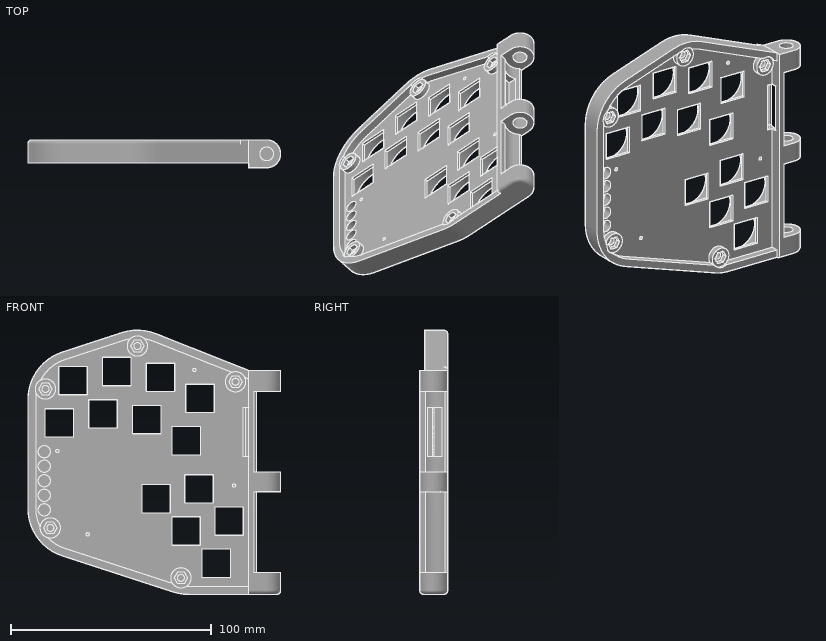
import cadquery as cq
import math

TOTAL_DEPTH = 14.0
RIM_FRONT = 2.4
FLOOR_FRONT = 6.5
EDGE_FILLET = 2.0
MARGIN = 1.0

PLATE_RIGHT = 110.0
FILLET_END = 106.0
LEFT_LOW_CORNER = (0.0, 24.8)
LEFT_HIGH_CORNER = (0.0, 115.2)
PEAK_CORNER = (55.4, 133.32)
BOTTOM_CORNER = (76.2, 0.0)
CORNER_RADIUS = 25.0
RIM_WIDTH = 4.0

HINGE_TOP = 111.7
KNUCKLE_RADIUS = TOTAL_DEPTH / 2
AXIS_X = 119.0
PIN_HOLE_DIAMETER = 6.85
PIN_HOLE_FLOOR = 2.0
CLEARANCE_RADIUS = 7.5
BAR_FRONT_RIGHT = 112.7
BAR_BACK_RIGHT = 114.0
KNUCKLE_GAPS = ((11.1, 51.1), (61.1, 101.1))

WINDOW_LOW = 68.8
WINDOW_HIGH = 93.1
WINDOW_FRONT = 3.8
WINDOW_BACK = 11.0
WINDOW_LEFT = 108.4
WINDOW_CHAMFER_X = 1.3
WINDOW_CHAMFER_Y = 0.5

KEY_SIDE = 14.0
KEY_LIP = 1.5
KEY_RELIEF_DIAMETER = 21.2
FINGER_KEYS = ((22.5, 106.6), (44.3, 111.1), (66.1, 108.2), (85.8, 97.7))
FINGER_ROW_STEP = (-6.85, -21.1)
THUMB_ORIGIN = (63.9, 47.7)
THUMB_DOWN = (15.0, -16.05)
THUMB_ACROSS = (21.4, 4.95)
THUMB_KEYS = ((0, 0), (1, 0), (2, 0), (0, 1), (1, 1))

BOSSES = ((54.6, 123.8), (8.8, 102.4), (103.5, 106.0), (11.2, 33.2), (76.3, 8.3))
BOSS_DIAMETER = 10.1
BOSS_HEIGHT = 3.0
NUT_CORNERS = 6.7
NUT_DEPTH = 2.4
SCREW_DIAMETER = 3.5
SCREW_DEPTH = 6.0

PIN_HOLES = ((83.0, 111.9), (14.7, 71.5), (102.8, 54.3), (29.8, 30.0))
PIN_DIAMETER = 1.65
PIN_DEPTH = 3.0
LIGHT_X = 8.2
LIGHT_LOW = 42.2
LIGHT_PITCH = 7.24
LIGHT_COUNT = 5
LIGHT_DIAMETER = 6.1
LIGHT_DEPTH = 5.0


def front_plane(y):
    """XZ sketch plane at depth y; extruding by a negative length goes toward +Y."""
    return cq.Workplane("XZ", origin=(0, y, 0))


def rod(points, diameter, y_start, y_end):
    """Cylinders along Y at the given (x, z) points."""
    return front_plane(y_start).pushPoints(points).circle(diameter / 2).extrude(y_start - y_end)


def plate_blank(y_start, y_end, right):
    """Plate with rounded corners, cut off square at x = right."""
    slope = (PEAK_CORNER[1] - HINGE_TOP) / (PLATE_RIGHT - PEAK_CORNER[0])
    right_top = (right, HINGE_TOP + slope * (PLATE_RIGHT - right))
    corners = [LEFT_LOW_CORNER, LEFT_HIGH_CORNER, PEAK_CORNER, right_top, (right, 0.0), BOTTOM_CORNER]
    blank = front_plane(y_start).polyline(corners).close().extrude(y_start - y_end)
    left_of_end = cq.selectors.BoxSelector(
        (-MARGIN, -MARGIN, -MARGIN),
        (right - MARGIN, TOTAL_DEPTH + MARGIN, PEAK_CORNER[1] + MARGIN),
    )
    return blank.edges("|Y").edges(left_of_end).fillet(CORNER_RADIUS)


def pocket():
    """Recess inside the rim: the outline moved inward, open toward the hinge."""
    extended = plate_blank(0, FLOOR_FRONT, PLATE_RIGHT + 2 * RIM_WIDTH)
    outline = extended.faces("<Y").wires().toPending().workplane()
    inner = outline.offset2D(-RIM_WIDTH).extrude(-FLOOR_FRONT, combine=False)
    left_of_hinge = cq.Workplane("XY").box(PLATE_RIGHT, FLOOR_FRONT, PEAK_CORNER[1], centered=False)
    return inner.intersect(left_of_hinge)


def hinge():
    """Full-height bar with a D-shaped section."""
    return (
        cq.Workplane("XY")
        .moveTo(PLATE_RIGHT, 0)
        .lineTo(AXIS_X, 0)
        .threePointArc((AXIS_X + KNUCKLE_RADIUS, KNUCKLE_RADIUS), (AXIS_X, TOTAL_DEPTH))
        .lineTo(PLATE_RIGHT, TOTAL_DEPTH)
        .close()
        .extrude(HINGE_TOP)
    )


def knuckle_gap(low, high):
    """Space for a mating knuckle, hollowing the bar behind a plain front lip."""
    far = AXIS_X + 2 * KNUCKLE_RADIUS
    lip_depth = math.sqrt(CLEARANCE_RADIUS ** 2 - (AXIS_X - BAR_FRONT_RIGHT) ** 2)
    back_depth = math.sqrt(CLEARANCE_RADIUS ** 2 - (AXIS_X - BAR_BACK_RIGHT) ** 2)
    return (
        cq.Workplane("XY", origin=(0, 0, low))
        .moveTo(BAR_FRONT_RIGHT, 0)
        .lineTo(BAR_FRONT_RIGHT, KNUCKLE_RADIUS - lip_depth)
        .threePointArc(
            (AXIS_X - CLEARANCE_RADIUS, KNUCKLE_RADIUS),
            (BAR_BACK_RIGHT, KNUCKLE_RADIUS + back_depth),
        )
        .lineTo(BAR_BACK_RIGHT, TOTAL_DEPTH)
        .lineTo(far, TOTAL_DEPTH)
        .lineTo(far, 0)
        .close()
        .extrude(high - low)
    )


def window():
    """Opening through the hinge bar, sunk into the floor with a chamfered left edge."""
    return (
        cq.Workplane("XY", origin=(0, 0, WINDOW_LOW))
        .moveTo(WINDOW_LEFT - WINDOW_CHAMFER_X, WINDOW_FRONT)
        .lineTo(WINDOW_LEFT - WINDOW_CHAMFER_X, FLOOR_FRONT)
        .lineTo(WINDOW_LEFT, FLOOR_FRONT + WINDOW_CHAMFER_Y)
        .lineTo(WINDOW_LEFT, WINDOW_BACK)
        .lineTo(AXIS_X, WINDOW_BACK)
        .lineTo(AXIS_X, WINDOW_FRONT)
        .close()
        .extrude(WINDOW_HIGH - WINDOW_LOW)
    )


def rounded_body():
    """Plate and hinge joined, with the outer back edge and the hinge foot rounded."""
    joined = plate_blank(RIM_FRONT, TOTAL_DEPTH, PLATE_RIGHT).union(hinge())
    plate_back = cq.selectors.BoxSelector(
        (-MARGIN, TOTAL_DEPTH - MARGIN, -MARGIN),
        (PLATE_RIGHT, TOTAL_DEPTH + MARGIN, PEAK_CORNER[1]),
    )
    hinge_foot = cq.selectors.BoxSelector(
        (PLATE_RIGHT + MARGIN, -MARGIN, -MARGIN),
        (AXIS_X + KNUCKLE_RADIUS, TOTAL_DEPTH - MARGIN, MARGIN),
    )
    rounded = joined.edges(plate_back + hinge_foot).fillet(EDGE_FILLET)
    upper_end = cq.Workplane("XY", origin=(FILLET_END, 0, HINGE_TOP / 2)).box(
        PLATE_RIGHT - FILLET_END, TOTAL_DEPTH, HINGE_TOP, centered=False
    )
    square_end = plate_blank(FLOOR_FRONT, TOTAL_DEPTH, PLATE_RIGHT).intersect(upper_end)
    return rounded.union(square_end)


def key_centers():
    """Centers of the two finger rows and the thumb cluster."""
    upper = list(FINGER_KEYS)
    lower = [(x + FINGER_ROW_STEP[0], z + FINGER_ROW_STEP[1]) for x, z in FINGER_KEYS]
    thumb = [
        (
            THUMB_ORIGIN[0] + down * THUMB_DOWN[0] + across * THUMB_ACROSS[0],
            THUMB_ORIGIN[1] + down * THUMB_DOWN[1] + across * THUMB_ACROSS[1],
        )
        for down, across in THUMB_KEYS
    ]
    return upper + lower + thumb


def cut_keys(part):
    """Square openings in a thin front lip, relieved by a larger round hole from behind."""
    centers = key_centers()
    squares = front_plane(0).pushPoints(centers).rect(KEY_SIDE, KEY_SIDE).extrude(-TOTAL_DEPTH)
    reliefs = rod(centers, KEY_RELIEF_DIAMETER, FLOOR_FRONT + KEY_LIP, TOTAL_DEPTH)
    return part.cut(squares).cut(reliefs)


def add_bosses(part):
    """Round bosses standing below the rim, each with a nut pocket and a screw hole."""
    boss_front = FLOOR_FRONT - BOSS_HEIGHT
    nut_floor = boss_front + NUT_DEPTH
    clearance = rod(BOSSES, BOSS_DIAMETER, 0, boss_front)
    bosses = rod(BOSSES, BOSS_DIAMETER, boss_front, FLOOR_FRONT)
    nuts = front_plane(boss_front).pushPoints(BOSSES).polygon(6, NUT_CORNERS).extrude(-NUT_DEPTH)
    screws = rod(BOSSES, SCREW_DIAMETER, nut_floor, nut_floor + SCREW_DEPTH)
    return part.cut(clearance).union(bosses).cut(nuts).cut(screws)


def cut_floor_holes(part):
    """Blind holes in the floor: locating pins and a column of light wells."""
    lights = [(LIGHT_X, LIGHT_LOW + i * LIGHT_PITCH) for i in range(LIGHT_COUNT)]
    pins = rod(PIN_HOLES, PIN_DIAMETER, FLOOR_FRONT, FLOOR_FRONT + PIN_DEPTH)
    wells = rod(lights, LIGHT_DIAMETER, FLOOR_FRONT, FLOOR_FRONT + LIGHT_DEPTH)
    return part.cut(pins).cut(wells)


def cut_hinge(part):
    """Knuckle gaps, the blind pin bore along Z and the connector window."""
    for low, high in KNUCKLE_GAPS:
        part = part.cut(knuckle_gap(low, high))
    bore = (
        cq.Workplane("XY", origin=(AXIS_X, KNUCKLE_RADIUS, PIN_HOLE_FLOOR))
        .circle(PIN_HOLE_DIAMETER / 2)
        .extrude(HINGE_TOP)
    )
    return part.cut(bore).cut(window())


shell = rounded_body().cut(pocket())
result = cut_hinge(cut_floor_holes(add_bosses(cut_keys(shell))))